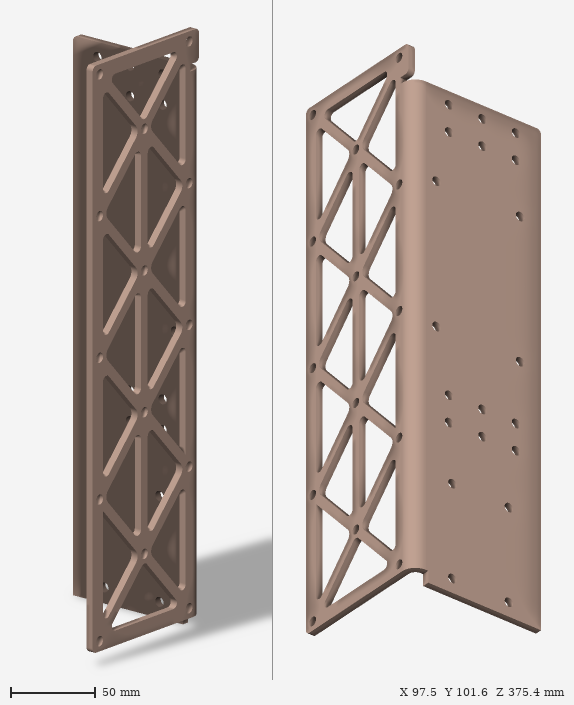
import cadquery as cq
import math

width_x = 97.47
depth_y = 101.6
height_z = 375.36

thickness = 4.826
inner_radius = 5.08
outer_radius = inner_radius + thickness
corner_radius = 3.175
hole_diameter = 6.35

tab_height = 25.4
back_top_z = height_z - tab_height
relief_past_bend = 1.9

truss_bottom_z = 8.3
truss_edge_margin = 6.35
truss_hole_span_y = 82.15
truss_bays = 4
slit_height = 4.5
tab_setback = 4.0
tab_bottom_z = back_top_z + slit_height
tab_edge_y = depth_y - tab_setback

strut_half_width = 3.1
window_radius = 3.175
apex_radius = 5.5
node_y_front = truss_edge_margin
node_y_back = node_y_front + truss_hole_span_y
node_y_mid = (node_y_front + node_y_back) / 2
node_z_bottom = truss_bottom_z + truss_edge_margin
node_z_top = height_z - truss_edge_margin
bay_height = (node_z_top - node_z_bottom) / truss_bays

first_column_x = 19.05
column_spacing = 25.4
column_count = 3
row_spacing = 19.05
upper_row_margin = 9.525
row_pair_spacing = 203.2
upper_row_z = back_top_z - upper_row_margin
lower_row_z = upper_row_z - row_pair_spacing
rectangle_left_x = 15.875
rectangle_width = 63.5
rectangle_height = 101.6
rectangle_drop = 38.1
rectangle_top_z = upper_row_z - row_spacing - rectangle_drop
foot_left_x = 24.4
foot_width = 42.95
foot_bottom_z = 10.06
foot_height = 66.3

bend_x = width_x - outer_radius
bend_y = depth_y - outer_radius
relief_x = bend_x - relief_past_bend
relief_y = bend_y - relief_past_bend


def box(x0, x1, y0, y1, z0, z1):
    return cq.Workplane("XY").box(x1 - x0, y1 - y0, z1 - z0, centered=False).translate((x0, y0, z0))


def back_plate():
    """Flat plate up to the bend line, extending below the bend as a foot."""
    y0 = depth_y - thickness
    plate = box(0, bend_x, y0, depth_y, 0, back_top_z)
    plate = plate.edges("|Y and <X and >Z").fillet(corner_radius)
    return plate.cut(box(relief_x, bend_x, y0, depth_y, 0, truss_bottom_z))


def bend():
    """Quarter-round bend joining the two plates."""
    diagonal = math.sqrt(0.5)
    return (
        cq.Workplane("XY", origin=(bend_x, bend_y, truss_bottom_z))
        .moveTo(0, outer_radius)
        .threePointArc((outer_radius * diagonal, outer_radius * diagonal), (outer_radius, 0))
        .lineTo(inner_radius, 0)
        .threePointArc((inner_radius * diagonal, inner_radius * diagonal), (0, inner_radius))
        .close()
        .extrude(back_top_z - truss_bottom_z)
    )


def truss_plate():
    """Flat plate up to the bend line, with a tab above the bend."""
    x0 = width_x - thickness
    plate = box(x0, width_x, 0, bend_y, truss_bottom_z, height_z)
    plate = plate.edges("|X and <Y").fillet(corner_radius)
    tab = box(x0, width_x, relief_y, tab_edge_y, tab_bottom_z, height_z)
    tab = tab.edges("|X and >Y").fillet(corner_radius)
    slit = box(x0, width_x, relief_y, bend_y, back_top_z, tab_bottom_z)
    return plate.union(tab).cut(slit)


def back_hole_points():
    rows = [z - drop for z in (upper_row_z, lower_row_z) for drop in (0, row_spacing)]
    columns = [first_column_x + i * column_spacing for i in range(column_count)]
    grid = [(x, z) for x in columns for z in rows]
    rectangle = [
        (rectangle_left_x + dx, rectangle_top_z - dz)
        for dx in (0, rectangle_width)
        for dz in (0, rectangle_height)
    ]
    foot = [(foot_left_x + dx, foot_bottom_z + dz) for dx in (0, foot_width) for dz in (0, foot_height)]
    return grid + rectangle + foot


def back_holes():
    return (
        cq.Workplane("XZ").pushPoints(back_hole_points()).circle(hole_diameter / 2).extrude(-depth_y)
    )


def truss_hole_points():
    sides = [
        (y, node_z_bottom + i * bay_height)
        for y in (node_y_front, node_y_back)
        for i in range(truss_bays + 1)
    ]
    centers = [(node_y_mid, node_z_bottom + (i + 0.5) * bay_height) for i in range(truss_bays)]
    return sides + centers


def truss_holes():
    return cq.Workplane("YZ").pushPoints(truss_hole_points()).circle(hole_diameter / 2).extrude(width_x)


def inset_corner(previous, corner, following):
    """Corner of a triangle moved inward by half a strut from both of its sides."""
    to_previous = cq.Vector(*previous).sub(cq.Vector(*corner)).normalized()
    to_following = cq.Vector(*following).sub(cq.Vector(*corner)).normalized()
    half_angle = to_previous.getAngle(to_following) / 2
    bisector = to_previous.add(to_following).normalized()
    moved = cq.Vector(*corner).add(bisector.multiply(strut_half_width / math.sin(half_angle)))
    return moved.x, moved.y


def triangle_window(nodes, radii):
    """Window between three nodes, each corner rounded by its own radius (0 leaves it sharp)."""
    corners = [inset_corner(nodes[i - 1], nodes[i], nodes[(i + 1) % 3]) for i in range(3)]
    window = cq.Workplane("YZ").polyline(corners).close().extrude(width_x)
    for (y, z), radius in zip(corners, radii):
        if radius > 0:
            edge = cq.NearestToPointSelector((width_x / 2, y, z))
            window = window.edges(edge).fillet(radius)
    return window


def truss_windows():
    windows = []
    for i in range(truss_bays):
        low = node_z_bottom + i * bay_height
        high = low + bay_height
        center = (node_y_mid, (low + high) / 2)
        for y in (node_y_front, node_y_back):
            low_radius = 0 if (i, y) == (1, node_y_back) else window_radius
            high_radius = 0 if (i, y) == (0, node_y_front) else window_radius
            windows.append(
                triangle_window([(y, low), (y, high), center], [low_radius, high_radius, apex_radius])
            )
            if i < truss_bays - 1:
                next_center = (node_y_mid, center[1] + bay_height)
                windows.append(
                    triangle_window(
                        [center, next_center, (y, high)], [window_radius, window_radius, apex_radius]
                    )
                )
    for end_z, center_z in (
        (node_z_bottom, node_z_bottom + bay_height / 2),
        (node_z_top, node_z_top - bay_height / 2),
    ):
        windows.append(
            triangle_window(
                [(node_y_front, end_z), (node_y_back, end_z), (node_y_mid, center_z)],
                [window_radius, window_radius, window_radius],
            )
        )
    return windows


result = back_plate().union(bend()).union(truss_plate())
result = result.cut(back_holes())
for cutter in [truss_holes()] + truss_windows():
    result = result.cut(cutter)